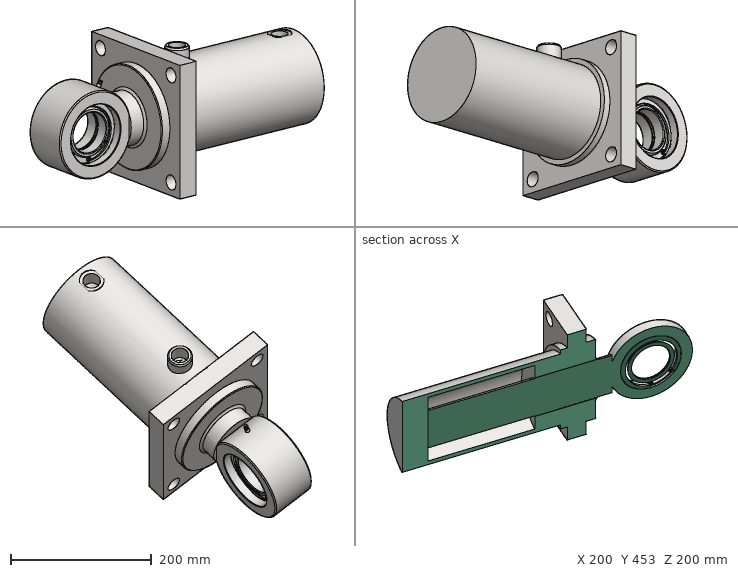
import cadquery as cq
import math


total_length = 453.0
eye_diameter = 130.0
rear_y = total_length - eye_diameter / 2

tube_diameter = 140.0
collar_diameter = 155.0
collar_start_y = rear_y - 246.5
flange_rear_y = rear_y - 257.5
flange_side = 200.0
flange_thickness = 30.0
flange_front_y = flange_rear_y - flange_thickness
collar_front_y = flange_front_y - 15.0
collar_chamfer = 1.5
bolt_spacing = 160.0
bolt_hole_diameter = 22.0

lip_base_diameter = 89.0
lip_length = 2.5

chamber_diameter = 125.0
chamber_rear_y = rear_y - 41.0
chamber_front_y = rear_y - 206.5

port_hole_diameter = 24.5
port_depth = 25.5
drill_point_angle = 118
rear_port_y = rear_y - 25.5
rear_flat_diameter = 35.0
rear_flat_z = 68.5
front_port_y = rear_y - 212.0
boss_diameter = 35.5
boss_top_z = 89.5
boss_chamfer_height = 2.5
boss_chamfer_width = 2.0

rod_diameter = 80.0
rod_front_y = rear_y - 327.5
eye_width = 70.0
eye_chamfer = 2.0
eye_bore_diameter = 90.0
eye_bore_chamfer = 1.0

nipple_tilt = 30
nipple_base_diameter = 6.5
nipple_neck_diameter = 3.5
nipple_head_diameter = 6.5
nipple_tip_diameter = 5.0
nipple_base_height = 4.5
nipple_head_start = 6.0
nipple_head_widest = 8.0
nipple_height = 10.0

bearing_bore_diameter = 60.0
bearing_bore_chamfer = 1.5
bearing_groove_width = 4.0
bearing_groove_depth = 1.5
ball_diameter = 82.0
outer_ring_width = 36.0
inner_ring_width = 44.0

snap_groove_diameter = 94.0
snap_ring_thickness = 3.0
snap_ring_inner_diameter = 80.5
snap_ring_inner_offset = 2.0
snap_ring_x = (outer_ring_width + snap_ring_thickness) / 2
snap_lug_diameter = 6.5
snap_lug_hole_diameter = 3.0
snap_lug_radius = 40.5
snap_end_angles = (220, 270)


def cylinder_y(diameter, start_y, end_y):
    """Cylinder on the Y axis between two Y positions."""
    plane = cq.Workplane("XZ", origin=(0, max(start_y, end_y), 0))
    return plane.circle(diameter / 2).extrude(abs(end_y - start_y))


def cylinder_x(diameter, width, centre_x=0.0):
    """Cylinder on the X axis, centred on an X position."""
    return cq.Workplane("YZ", origin=(centre_x - width / 2, 0, 0)).circle(diameter / 2).extrude(width)


def port_hole(port_y, top_z):
    """Drilled port with a pointed bottom, going down from a Z level."""
    radius = port_hole_diameter / 2
    point_height = radius / math.tan(math.radians(drill_point_angle / 2))
    profile = [(0, 0), (radius, 0), (radius, -port_depth), (0, -port_depth - point_height)]
    sketch = cq.Workplane("XZ", origin=(0, port_y, top_z)).polyline(profile).close()
    return sketch.revolve(360, (0, 0), (0, 1))


def flange():
    plate = cq.Workplane("XZ", origin=(0, flange_rear_y, 0)).rect(flange_side, flange_side)
    plate = plate.extrude(flange_thickness)
    bolt_square = plate.faces("<Y").workplane().rect(bolt_spacing, bolt_spacing, forConstruction=True)
    return bolt_square.vertices().hole(bolt_hole_diameter)


def rod_lip():
    """Cone that narrows from the collar face to the rod."""
    profile = [
        (0, collar_front_y),
        (lip_base_diameter / 2, collar_front_y),
        (rod_diameter / 2, collar_front_y - lip_length),
        (0, collar_front_y - lip_length),
    ]
    return cq.Workplane("XY").polyline(profile).close().revolve(360, (0, 0), (0, 1))


def port_boss():
    boss = cq.Workplane("XY", origin=(0, front_port_y, 0)).circle(boss_diameter / 2).extrude(boss_top_z)
    return boss.faces(">Z").chamfer(boss_chamfer_height, boss_chamfer_width)


def make_housing():
    tube = cylinder_y(tube_diameter, rear_y, collar_start_y)
    collar = cylinder_y(collar_diameter, collar_start_y, collar_front_y).faces("<Y").chamfer(collar_chamfer)
    body = tube.union(port_boss()).union(collar).union(flange()).union(rod_lip())

    rear_flat = cq.Workplane("XY", origin=(0, rear_port_y, rear_flat_z))
    rear_flat = rear_flat.circle(rear_flat_diameter / 2).extrude(tube_diameter)
    body = body.cut(rear_flat)
    body = body.cut(cylinder_y(chamber_diameter, chamber_rear_y, chamber_front_y))
    body = body.cut(cylinder_y(rod_diameter, chamber_rear_y, rod_front_y))
    body = body.cut(port_hole(rear_port_y, rear_flat_z))
    return body.cut(port_hole(front_port_y, boss_top_z))


def grease_nipple():
    """Nipple that stands radially on the eye, tilted from +Z towards +Y."""
    surface = eye_diameter / 2
    profile = [
        (0, surface - nipple_base_height),
        (nipple_base_diameter / 2, surface - nipple_base_height),
        (nipple_base_diameter / 2, surface + nipple_base_height),
        (nipple_neck_diameter / 2, surface + nipple_base_height),
        (nipple_neck_diameter / 2, surface + nipple_head_start),
        (nipple_head_diameter / 2, surface + nipple_head_widest),
        (nipple_tip_diameter / 2, surface + nipple_height),
        (0, surface + nipple_height),
    ]
    upright = cq.Workplane("XZ").polyline(profile).close().revolve(360, (0, 0), (0, 1))
    return upright.rotate((0, 0, 0), (1, 0, 0), -nipple_tilt)


def eye_bore():
    """Volume of the eye bore, flared at both faces."""
    end = eye_width / 2
    flare_start = end - eye_bore_chamfer
    bore = eye_bore_diameter / 2
    mouth = bore + eye_bore_chamfer
    profile = [(-end, 0), (-end, mouth), (-flare_start, bore), (flare_start, bore), (end, mouth), (end, 0)]
    return cq.Workplane("XY").polyline(profile).close().revolve(360, (0, 0), (1, 0))


def make_rod():
    """Rod with its eye and grease nipple, pushed in until it meets the rear of the chamber."""
    shaft = cylinder_y(rod_diameter, chamber_rear_y, rod_front_y)
    eye = cylinder_x(eye_diameter, eye_width).faces("<X or >X").chamfer(eye_chamfer)
    body = shaft.union(eye).union(grease_nipple())
    body = body.cut(eye_bore())
    for side in (-1, 1):
        body = body.cut(cylinder_x(snap_groove_diameter, snap_ring_thickness, side * snap_ring_x))
    return body


def snap_ring(centre_x):
    """Open ring, widest opposite its gap, with a lug and a plier hole at each end."""
    ring = cylinder_x(snap_groove_diameter, snap_ring_thickness, centre_x)
    start, end = (math.radians(angle) for angle in snap_end_angles)
    middle = (start + end) / 2
    offset = (0, snap_ring_inner_offset * math.cos(middle), snap_ring_inner_offset * math.sin(middle))
    ring = ring.cut(cylinder_x(snap_ring_inner_diameter, snap_ring_thickness, centre_x).translate(offset))

    corners = [(0, 0)]
    for angle in (start, middle, end):
        corners.append((snap_groove_diameter * math.cos(angle), snap_groove_diameter * math.sin(angle)))
    left_x = centre_x - snap_ring_thickness / 2
    plane = cq.Workplane("YZ", origin=(left_x, 0, 0))
    ring = ring.cut(plane.polyline(corners).close().extrude(snap_ring_thickness))

    lug_centres = [(snap_lug_radius * math.cos(a), snap_lug_radius * math.sin(a)) for a in (start, end)]
    lugs = plane.pushPoints(lug_centres).circle(snap_lug_diameter / 2).extrude(snap_ring_thickness)
    holes = plane.pushPoints(lug_centres).circle(snap_lug_hole_diameter / 2).extrude(snap_ring_thickness)
    return ring.union(lugs).cut(holes)


def bearing_rings():
    """Outer ring and wider ball-shaped inner ring, with a lubrication groove around the bore."""
    bore = bearing_bore_diameter / 2
    ball = ball_diameter / 2
    outer = eye_bore_diameter / 2
    outer_end = outer_ring_width / 2
    inner_end = inner_ring_width / 2
    outer_end_radius = math.sqrt(ball**2 - outer_end**2)
    inner_end_radius = math.sqrt(ball**2 - inner_end**2)
    middle = (outer_end + inner_end) / 2
    middle_radius = math.sqrt(ball**2 - middle**2)

    profile = (
        cq.Workplane("XY")
        .moveTo(-inner_end + bearing_bore_chamfer, bore)
        .lineTo(inner_end - bearing_bore_chamfer, bore)
        .lineTo(inner_end, bore + bearing_bore_chamfer)
        .lineTo(inner_end, inner_end_radius)
        .threePointArc((middle, middle_radius), (outer_end, outer_end_radius))
        .lineTo(outer_end, outer)
        .lineTo(-outer_end, outer)
        .lineTo(-outer_end, outer_end_radius)
        .threePointArc((-middle, middle_radius), (-inner_end, inner_end_radius))
        .lineTo(-inner_end, bore + bearing_bore_chamfer)
        .close()
    )
    groove = cylinder_x(bearing_bore_diameter + 2 * bearing_groove_depth, bearing_groove_width)
    return profile.revolve(360, (0, 0), (1, 0)).cut(groove)


def make_bearing():
    """Outer ring, ball-shaped inner ring and both snap rings."""
    body = bearing_rings()
    for side in (-1, 1):
        body = body.union(snap_ring(side * snap_ring_x))
    return body


housing = make_housing()
rod = make_rod()
bearing = make_bearing()

result = cq.Compound.makeCompound([housing.solids().val(), rod.solids().val(), bearing.solids().val()])